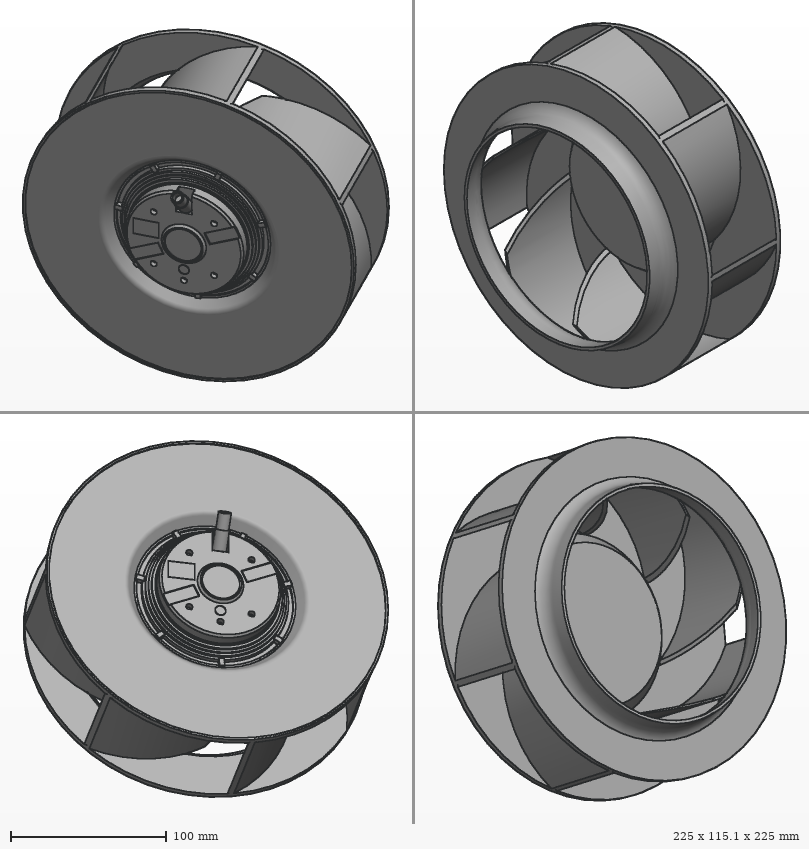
import cadquery as cq
import math


overlap = 1.0

wheel_radius = 112.5
plate_thickness = 4.0
rim_lip_width = 1.6
plate_face_y = 1.0
shroud_outer_y = 71.1
shroud_thickness = 3.9
shroud_inner_y = shroud_outer_y - shroud_thickness

inlet_end_y = 89.8
inlet_seam_y = 81.0
inlet_end_radius = 78.8
inlet_seam_radius = 79.9
inlet_mid_radius = 81.6
inlet_mid_y = 75.6
inlet_root_radius = 86.5
inlet_wall = 2.2

blade_count = 7
blade_pitch = 360 / blade_count
first_blade_angle = 25.9
blade_thickness = 1.65
blade_mid_radius = 79.2
blade_mid_sweep = 40
blade_inner_radius = 62.0
blade_inner_sweep = 67
blade_tip_overrun = 12
blade_shroud_radius = 77.0
blade_plate_radius = 62.0
blade_edge_mid_radius = 68.0
blade_edge_mid_y = 42.0

bowl_mouth_radius = 61.8
bowl_bend_radius = 58.0
bowl_bend_y = plate_face_y + 1.5
bowl_ledge_radius = 53.2
bowl_ledge_y = 8.0
bowl_floor_radius = 51.6
bowl_floor_y = 9.6
bowl_back_radius = 54.0
bowl_back_y = 15.0

hub_radius = 40.1
hub_face_y = -9.0
hub_bevel_radial = 1.5
hub_bevel_axial = 1.6
hub_steps = [(41.0, -0.3), (43.0, 1.0), (44.7, 3.0), (46.4, 4.5), (48.2, 6.5)]

clip_angle = 172
clip_width = 3.5
clip_front_y = 6.0

boss_height = 1.8
boss_base_radius = 15.2
boss_shoulder_radius = 13.6
boss_recess_radius = 12.4
boss_recess_depth = 0.6
hole_radius = 2.1
hole_depth = 4.0
hole_square_offset = 20.5
lone_hole_z = -29.1
groove_angle = 25
groove_start = 17.4
groove_width = 8.9
groove_depth = 1.0
label_center = (-25.7, 6.4)
label_size = (17.3, 12.1)
ground_mark_z = -20.6
ground_mark_radius = 3.5
mark_depth = 0.3

cable_tip_y = -22.22
cable_tip_z = 45.6
cable_tilt = 47
cable_length = 27.0
cable_radius = 4.2
cable_collar_radius = 4.7
cable_collar_length = 16.0
cable_bore_radius = 3.1
cable_bore_depth = 8.0
pocket_width = 10.8
pocket_bottom_z = 24.3
pocket_depth = 6.0


def polar(radius, degrees):
    angle = math.radians(degrees)
    return radius * math.cos(angle), radius * math.sin(angle)


def around_axis(profile):
    """Revolve a closed (radius, y) profile about the wheel axis."""
    return profile.close().revolve(360, (0, 0, 0), (0, 1, 0))


def face_plane(y):
    """Plane facing -Y at the given height, with local axes X and Z."""
    return cq.Workplane("XZ", origin=(0, y, 0))


def make_back_plate_and_hub():
    profile = (
        cq.Workplane("XY")
        .moveTo(0, hub_face_y)
        .lineTo(hub_radius - hub_bevel_radial, hub_face_y)
        .lineTo(hub_radius, hub_face_y + hub_bevel_axial)
    )
    radius = hub_radius
    for step_radius, step_y in hub_steps:
        profile = profile.lineTo(radius, step_y).lineTo(step_radius, step_y)
        radius = step_radius
    profile = (
        profile.lineTo(radius, bowl_floor_y)
        .lineTo(bowl_floor_radius, bowl_floor_y)
        .lineTo(bowl_floor_radius, bowl_ledge_y)
        .lineTo(bowl_ledge_radius, bowl_ledge_y)
        .lineTo(bowl_bend_radius, bowl_bend_y)
        .tangentArcPoint((bowl_mouth_radius, plate_face_y), relative=False)
        .lineTo(wheel_radius - rim_lip_width, plate_face_y)
        .lineTo(wheel_radius - rim_lip_width, 0)
        .lineTo(wheel_radius, 0)
        .lineTo(wheel_radius, plate_thickness)
        .lineTo(bowl_mouth_radius, plate_thickness)
        .lineTo(bowl_back_radius, bowl_back_y)
        .lineTo(0, bowl_back_y)
    )
    return around_axis(profile)


def make_shroud():
    profile = (
        cq.Workplane("XY")
        .moveTo(wheel_radius, shroud_inner_y)
        .lineTo(wheel_radius, shroud_outer_y)
        .lineTo(inlet_root_radius, shroud_outer_y)
        .threePointArc((inlet_mid_radius, inlet_mid_y), (inlet_seam_radius, inlet_seam_y))
        .lineTo(inlet_end_radius, inlet_end_y)
        .lineTo(inlet_end_radius - inlet_wall, inlet_end_y)
        .lineTo(inlet_seam_radius - inlet_wall, inlet_seam_y)
        .threePointArc(
            (inlet_mid_radius - inlet_wall, inlet_mid_y - inlet_wall),
            (inlet_root_radius - inlet_wall, shroud_inner_y),
        )
    )
    return around_axis(profile)


def make_blade(angle):
    """One untrimmed blade: a strip of constant thickness curved about one center."""
    tip = cq.Vector(*polar(wheel_radius, angle))
    middle = cq.Vector(*polar(blade_mid_radius, angle + blade_mid_sweep))
    root = cq.Vector(*polar(blade_inner_radius, angle + blade_inner_sweep))
    arc = cq.Edge.makeThreePointArc(tip, middle, root)
    center = arc.arcCenter()
    outer = arc.radius()
    inner = outer - blade_thickness

    def on_arc(radius, degrees):
        x, z = polar(radius, degrees)
        return center.x + x, center.y + z

    def direction(point):
        return math.degrees(math.atan2(point.y - center.y, point.x - center.x))

    start = direction(tip) - blade_tip_overrun
    span = (direction(root) - start) % 360
    half = start + span / 2
    end = start + span
    base_y = plate_thickness / 2 + plate_face_y
    top_y = shroud_inner_y + shroud_thickness / 2

    return (
        face_plane(base_y)
        .moveTo(*on_arc(outer, start))
        .threePointArc(on_arc(outer, half), on_arc(outer, end))
        .lineTo(*on_arc(inner, end))
        .threePointArc(on_arc(inner, half), on_arc(inner, start))
        .close()
        .extrude(base_y - top_y)
    )


def make_blades():
    envelope = around_axis(
        cq.Workplane("XY")
        .moveTo(wheel_radius, 0)
        .lineTo(wheel_radius, shroud_outer_y)
        .lineTo(inlet_root_radius, shroud_outer_y)
        .lineTo(inlet_root_radius - inlet_wall, shroud_inner_y)
        .lineTo(blade_shroud_radius, shroud_inner_y)
        .threePointArc((blade_edge_mid_radius, blade_edge_mid_y), (blade_plate_radius, plate_thickness))
        .lineTo(blade_plate_radius, 0)
    )
    return [
        make_blade(first_blade_angle + i * blade_pitch).intersect(envelope)
        for i in range(blade_count)
    ]


def make_clips():
    clip_inner = hub_steps[-1][0] - overlap
    clip_length = bowl_floor_radius + overlap - clip_inner
    clip_height = bowl_floor_y + overlap - clip_front_y
    clip = (
        cq.Workplane("XY")
        .box(clip_length, clip_height, clip_width, centered=(False, False, True))
        .translate((clip_inner, clip_front_y, 0))
    )
    return [
        clip.rotate((0, 0, 0), (0, -1, 0), clip_angle + i * blade_pitch)
        for i in range(blade_count)
    ]


def make_boss():
    return around_axis(
        cq.Workplane("XY")
        .moveTo(0, hub_face_y + overlap)
        .lineTo(boss_base_radius, hub_face_y + overlap)
        .lineTo(boss_base_radius, hub_face_y)
        .lineTo(boss_shoulder_radius, hub_face_y - boss_height)
        .lineTo(boss_recess_radius, hub_face_y - boss_height)
        .lineTo(boss_recess_radius, hub_face_y - boss_height + boss_recess_depth)
        .lineTo(0, hub_face_y - boss_height + boss_recess_depth)
    )


def cut_hub_face(body):
    holes = [(x * hole_square_offset, z * hole_square_offset) for x in (-1, 1) for z in (-1, 1)]
    holes.append((0, lone_hole_z))
    face = face_plane(hub_face_y)
    body = body.cut(face.pushPoints(holes).circle(hole_radius).extrude(-hole_depth))

    groove_length = hub_radius - groove_start
    groove = face.center(groove_start + groove_length / 2, 0).rect(groove_length, groove_width)
    groove = groove.extrude(-groove_depth)
    for turn in (groove_angle, groove_angle + 180):
        body = body.cut(groove.rotate((0, 0, 0), (0, -1, 0), turn))

    body = body.cut(face.center(*label_center).rect(*label_size).extrude(-mark_depth))
    return body.cut(face.center(0, ground_mark_z).circle(ground_mark_radius).extrude(-mark_depth))


def add_cable_outlet(body):
    pocket_height = hub_radius - pocket_bottom_z
    pocket = face_plane(hub_face_y).center(0, pocket_bottom_z + pocket_height / 2)
    body = body.cut(pocket.rect(pocket_width, pocket_height).extrude(-pocket_depth))

    along = cq.Vector(0, -math.cos(math.radians(cable_tilt)), math.sin(math.radians(cable_tilt)))
    tip = cq.Vector(0, cable_tip_y, cable_tip_z)
    start = tip - along * cable_length
    bore_start = tip - along * cable_bore_depth
    cable = cq.Solid.makeCylinder(cable_radius, cable_length, start, along)
    collar = cq.Solid.makeCylinder(cable_collar_radius, cable_collar_length, start, along)
    bore = cq.Solid.makeCylinder(cable_bore_radius, cable_bore_depth, bore_start, along)
    return body.union(cq.Workplane(cable)).union(cq.Workplane(collar)).cut(cq.Workplane(bore))


wheel = make_back_plate_and_hub()
for piece in [make_shroud(), *make_blades(), *make_clips()]:
    wheel = wheel.union(piece)
wheel = cut_hub_face(wheel)
wheel = wheel.union(make_boss())
result = add_cable_outlet(wheel)